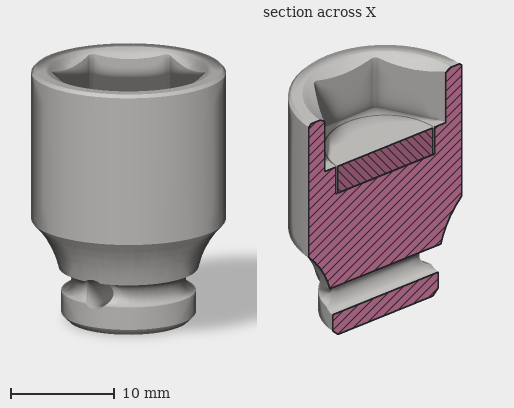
import cadquery as cq
import math

height = 25.0
body_radius = 9.4
rim_chamfer = 0.3
drum_bottom_z = 10.0

neck_radius = 6.75
flare_sag = 0.4
flange_radius = 6.5
flange_chamfer = 0.68
groove_bottom_z = 2.9
groove_top_z = 5.2
groove_floor_radius = 5.52

cross_hole_radius = 1.5
cross_hole_z = 4.0

hex_across_flats = 13.0
hex_corner_radius = 7.38
hex_depth = 6.0
mouth_radius = 8.0
lead_in_angle = 30.0

seat_radius = 6.02
seat_clearance = 0.18
insert_thickness = 3.0

hex_floor_z = height - hex_depth
insert_radius = seat_radius - seat_clearance
insert_bottom_z = hex_floor_z - insert_thickness


def make_outer_body():
    """Revolved outside shape of the socket."""
    chord_r = body_radius - neck_radius
    chord_z = drum_bottom_z - groove_top_z
    chord = math.hypot(chord_r, chord_z)
    flare_mid = (
        (body_radius + neck_radius) / 2 - flare_sag * chord_z / chord,
        (drum_bottom_z + groove_top_z) / 2 + flare_sag * chord_r / chord,
    )
    groove_mid = (groove_floor_radius, (groove_bottom_z + groove_top_z) / 2)
    return (
        cq.Workplane("XZ")
        .lineTo(flange_radius - flange_chamfer, 0)
        .lineTo(flange_radius, flange_chamfer)
        .lineTo(flange_radius, groove_bottom_z)
        .threePointArc(groove_mid, (neck_radius, groove_top_z))
        .threePointArc(flare_mid, (body_radius, drum_bottom_z))
        .lineTo(body_radius, height - rim_chamfer)
        .lineTo(body_radius - rim_chamfer, height)
        .lineTo(0, height)
        .close()
        .revolve(360, (0, 0, 0), (0, 1, 0))
    )


def make_hex_recess():
    """Hexagonal prism with two corners on the Y axis and truncated corners."""
    across_corners = hex_across_flats / math.cos(math.radians(30))
    floor = cq.Workplane("XY").workplane(offset=hex_floor_z)
    hexagon = floor.transformed(rotate=(0, 0, 90)).polygon(6, across_corners).extrude(hex_depth)
    corner_limit = floor.circle(hex_corner_radius).extrude(hex_depth)
    return hexagon.intersect(corner_limit)


def make_lead_in():
    """Cone that opens the recess out to the mouth circle."""
    cone_depth = mouth_radius * math.tan(math.radians(lead_in_angle))
    return (
        cq.Workplane("XZ")
        .moveTo(0, height)
        .lineTo(mouth_radius, height)
        .lineTo(0, height - cone_depth)
        .close()
        .revolve(360, (0, 0, 0), (0, 1, 0))
    )


def make_cross_hole():
    """Round cutter that passes right through the body along Y."""
    return (
        cq.Workplane("XZ")
        .center(0, cross_hole_z)
        .circle(cross_hole_radius)
        .extrude(body_radius, both=True)
    )


def make_floor_disc(radius):
    """Disc whose top is level with the floor of the hexagonal recess."""
    return (
        cq.Workplane("XY")
        .workplane(offset=insert_bottom_z)
        .circle(radius)
        .extrude(insert_thickness)
    )


def make_socket():
    return (
        make_outer_body()
        .cut(make_hex_recess())
        .cut(make_lead_in())
        .cut(make_cross_hole())
        .cut(make_floor_disc(seat_radius))
    )


def make_insert():
    """Disc that stands on the bottom of the seat with a narrow gap around it."""
    return make_floor_disc(insert_radius)


socket = make_socket()
insert = make_insert()

result = cq.Compound.makeCompound([socket.val(), insert.val()])